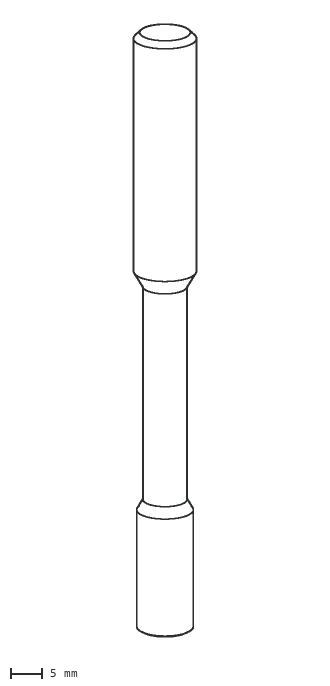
import cadquery as cq
import math

total_length = 100.0
tip_length = 20.0
head_length = 40.0

tip_radius = 4.5
neck_radius = 3.5
head_radius = 5.0

taper_angle = math.radians(30)

tip_chamfer_width = 0.7
tip_chamfer_height = 0.4
head_chamfer = 1.0

lower_taper_length = (tip_radius - neck_radius) / math.tan(taper_angle)
upper_taper_length = (head_radius - neck_radius) / math.tan(taper_angle)
neck_bottom = tip_length + lower_taper_length
head_bottom = total_length - head_length
neck_top = head_bottom - upper_taper_length

half_profile = [
    (0, 0),
    (tip_radius - tip_chamfer_width, 0),
    (tip_radius, tip_chamfer_height),
    (tip_radius, tip_length),
    (neck_radius, neck_bottom),
    (neck_radius, neck_top),
    (head_radius, head_bottom),
    (head_radius, total_length - head_chamfer),
    (head_radius - head_chamfer, total_length),
    (0, total_length),
]

result = cq.Workplane("XZ").polyline(half_profile).close().revolve(360, (0, 0), (0, 1))